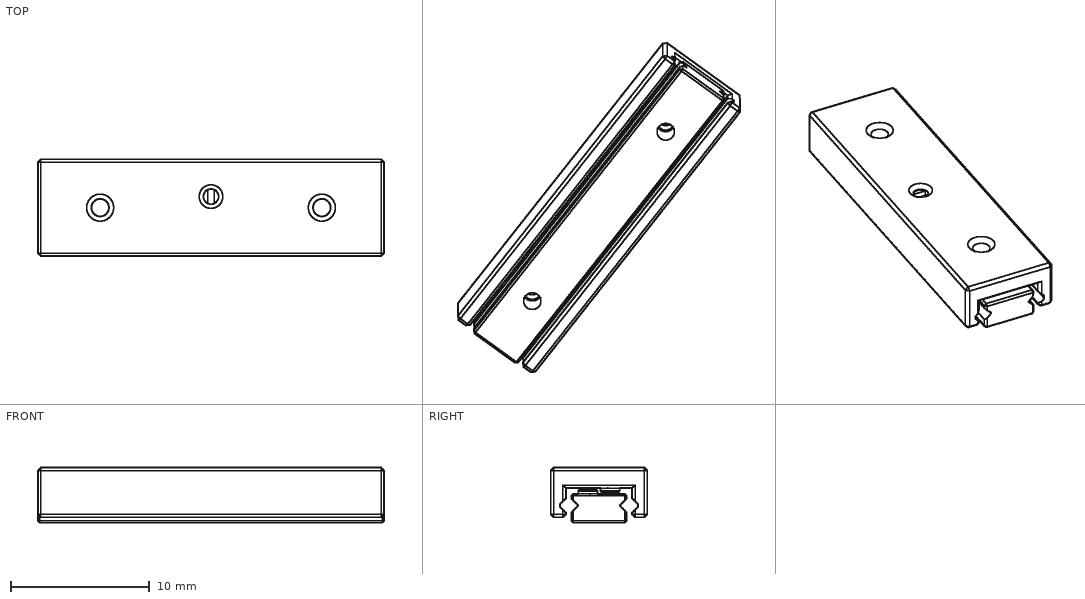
import cadquery as cq


length = 25.0
overlap = 0.25

carriage_width = 7.0
carriage_top = 4.0
carriage_bottom = 0.4
carriage_chamfer = 0.22
channel_width = 4.75
channel_ceiling = 2.5

rail_width = 4.0
rail_top = 2.1
rail_chamfer = 0.15

groove_height = 1.25
rail_groove_half_opening = 0.5
carriage_groove_half_opening = 0.52
carriage_groove_flat = 0.2

mount_spacing = 16.0
mount_diameter = 1.25
mount_sink_diameter = 1.95

pin_offset = 0.8
pin_head_diameter = 1.4
pin_head_height = 0.32
pin_head_chamfer_height = 0.15
pin_head_chamfer_width = 0.1
pin_stem_diameter = 1.1
pin_sink_diameter = 1.7
pin_recess = 0.08
pin_slot_width = 0.5
pin_slot_depth = 0.5

pin_sink_depth = (pin_sink_diameter - pin_stem_diameter) / 2
pin_stem_length = carriage_top - channel_ceiling - pin_sink_depth - pin_recess


def box_between(width, bottom, top):
    """Full-length block centred on X and Y, between two heights."""
    block = cq.Workplane("XY").box(length, width, top - bottom, centered=(True, True, False))
    return block.translate((0, 0, bottom))


def hole_cutter(x, y, top, bottom, diameter, sink_diameter):
    """Vertical hole with a 90-degree countersink at its upper end."""
    radius = diameter / 2
    sink_radius = sink_diameter / 2
    profile = (
        cq.Workplane("XZ")
        .moveTo(0, bottom - overlap)
        .lineTo(radius, bottom - overlap)
        .lineTo(radius, top - (sink_radius - radius))
        .lineTo(sink_radius, top)
        .lineTo(0, top)
        .close()
    )
    return profile.revolve(360, (0, 0), (0, 1)).translate((x, y, 0))


def groove_cutter(side, wall_y, direction, half_opening, flat):
    """Full-length 45-degree groove going from a wall in the given Y direction, with a flat floor."""
    depth = half_opening - flat / 2
    mouth_y = wall_y - direction * overlap
    mouth_half = half_opening + overlap
    floor_y = wall_y + direction * depth
    points = [
        (side * mouth_y, groove_height - mouth_half),
        (side * mouth_y, groove_height + mouth_half),
        (side * floor_y, groove_height + flat / 2),
    ]
    if flat > 0:
        points.append((side * floor_y, groove_height - flat / 2))
    return cq.Workplane("YZ").polyline(points).close().extrude(length / 2 + overlap, both=True)


def make_carriage():
    body = box_between(carriage_width, carriage_bottom, carriage_top)
    body = body.cut(box_between(channel_width, carriage_bottom, channel_ceiling))

    ceiling_corners = cq.selectors.BoxSelector(
        (-overlap, -channel_width, channel_ceiling - overlap),
        (overlap, channel_width, channel_ceiling + overlap),
    )
    outer_edges = cq.selectors.SubtractSelector(cq.selectors.Selector(), ceiling_corners)
    body = body.edges(outer_edges).chamfer(carriage_chamfer)

    for side in (-1, 1):
        groove = groove_cutter(
            side, channel_width / 2, 1, carriage_groove_half_opening, carriage_groove_flat
        )
        body = body.cut(groove)
        mount_x = side * mount_spacing / 2
        body = body.cut(
            hole_cutter(mount_x, 0, carriage_top, channel_ceiling, mount_diameter, mount_sink_diameter)
        )
    return body.cut(
        hole_cutter(0, pin_offset, carriage_top, channel_ceiling, pin_stem_diameter, pin_sink_diameter)
    )


def make_rail():
    body = box_between(rail_width, 0, rail_top).edges().chamfer(rail_chamfer)
    for side in (-1, 1):
        body = body.cut(groove_cutter(side, rail_width / 2, -1, rail_groove_half_opening, 0))
        mount_hole = cq.Workplane("XY").center(side * mount_spacing / 2, 0).circle(mount_diameter / 2)
        body = body.cut(mount_hole.extrude(rail_top))
    pin_hole = cq.Workplane("XY", origin=(0, -pin_offset, rail_top)).circle(pin_stem_diameter / 2)
    return body.cut(pin_hole.extrude(-pin_stem_length))


def make_pin():
    """Slotted stem rising from Z = 0, with a chamfered head hanging below."""
    stem_radius = pin_stem_diameter / 2
    head_radius = pin_head_diameter / 2
    profile = (
        cq.Workplane("XZ")
        .moveTo(0, -pin_head_height)
        .lineTo(head_radius - pin_head_chamfer_width, -pin_head_height)
        .lineTo(head_radius, pin_head_chamfer_height - pin_head_height)
        .lineTo(head_radius, 0)
        .lineTo(stem_radius, 0)
        .lineTo(stem_radius, pin_stem_length)
        .lineTo(0, pin_stem_length)
        .close()
    )
    pin = profile.revolve(360, (0, 0), (0, 1))
    slot = cq.Workplane("XY", origin=(0, 0, pin_stem_length)).rect(pin_slot_width, pin_head_diameter)
    return pin.cut(slot.extrude(-pin_slot_depth))


carriage = make_carriage()
rail = make_rail()

carriage_pin = make_pin().translate((0, pin_offset, channel_ceiling))
rail_pin = make_pin().rotate((0, 0, 0), (1, 0, 0), 180).translate((0, -pin_offset, rail_top))

result = cq.Compound.makeCompound([carriage.val(), rail.val(), carriage_pin.val(), rail_pin.val()])